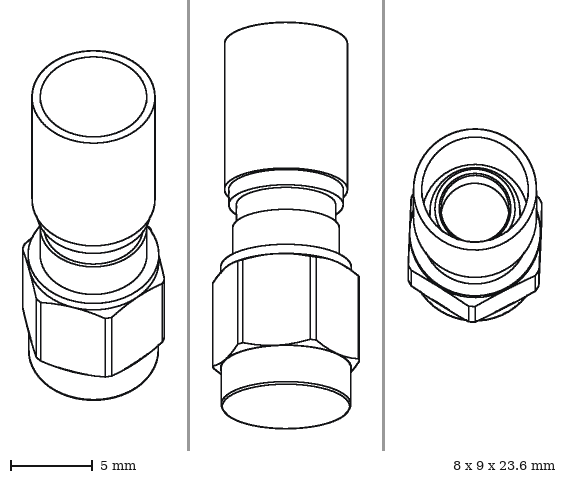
import cadquery as cq

total_height = 23.65
hex_bottom = 2.5
hex_top = 8.5
flange_top = 9.08
collar_top = 11.64
neck_top = 13.15
shoulder_top = 14.15

base_diameter = 7.92
base_chamfer_width = 0.07
base_chamfer_height = 0.15
across_flats = 8.0
across_corners = 9.0
hex_chamfer_height = 0.28

collar_diameter = 6.53
neck_diameter = 6.08
shoulder_diameter = 7.0

sleeve_diameter = 7.52
sleeve_bore = 6.5

ferrule_diameter = 5.5
ferrule_tip_diameter = 4.9
ferrule_height = 2.84
ferrule_taper_height = 1.18
ferrule_mouth_diameter = 4.38
ferrule_bore_diameter = 4.16


def cylinder(diameter, bottom, top):
    """Solid cylinder on the Z axis between two heights."""
    return cq.Workplane("XY", origin=(0, 0, bottom)).circle(diameter / 2).extrude(top - bottom)


def cone(bottom_diameter, top_diameter, bottom, top):
    """Solid truncated cone on the Z axis between two heights."""
    profile = [
        (0, bottom),
        (bottom_diameter / 2, bottom),
        (top_diameter / 2, top),
        (0, top),
    ]
    return cq.Workplane("XZ").polyline(profile).close().revolve(360, (0, 0), (0, 1))


def make_hexagon():
    """Hexagon with two flats facing X, its corners turned round and both ends chamfered."""
    hexagon = (
        cq.Workplane("XY", origin=(0, 0, hex_bottom))
        .polygon(6, across_flats, circumscribed=True)
        .extrude(hex_top - hex_bottom)
    )
    lower_corner = hex_bottom + hex_chamfer_height
    upper_corner = hex_top - hex_chamfer_height
    turned_blank = (
        cone(across_flats, across_corners, hex_bottom, lower_corner)
        .union(cylinder(across_corners, lower_corner, upper_corner))
        .union(cone(across_corners, across_flats, upper_corner, hex_top))
    )
    return hexagon.intersect(turned_blank)


def make_nut():
    """Coupling nut: chamfered round base, hexagon and thin round flange."""
    chamfered_diameter = base_diameter - 2 * base_chamfer_width
    return (
        cone(chamfered_diameter, base_diameter, 0, base_chamfer_height)
        .union(cylinder(base_diameter, base_chamfer_height, hex_bottom))
        .union(make_hexagon())
        .union(cylinder(across_flats, hex_top, flange_top))
    )


def make_body():
    """Collar, narrower neck and the shoulder that carries the sleeve."""
    return (
        cylinder(collar_diameter, flange_top, collar_top)
        .union(cylinder(neck_diameter, collar_top, neck_top))
        .union(cylinder(shoulder_diameter, neck_top, shoulder_top))
    )


def make_sleeve():
    """Thin tube standing on the shoulder and open at the top."""
    bore = cylinder(sleeve_bore, shoulder_top, total_height)
    return cylinder(sleeve_diameter, shoulder_top, total_height).cut(bore)


def make_ferrule():
    """Round ferrule with a tapered tip and a blind bore countersunk at its mouth."""
    ferrule_top = shoulder_top + ferrule_height
    taper_bottom = ferrule_top - ferrule_taper_height
    countersink_depth = (ferrule_mouth_diameter - ferrule_bore_diameter) / 2
    countersink_bottom = ferrule_top - countersink_depth
    outside = cylinder(ferrule_diameter, shoulder_top, taper_bottom).union(
        cone(ferrule_diameter, ferrule_tip_diameter, taper_bottom, ferrule_top)
    )
    bore = cylinder(ferrule_bore_diameter, shoulder_top, countersink_bottom).union(
        cone(ferrule_bore_diameter, ferrule_mouth_diameter, countersink_bottom, ferrule_top)
    )
    return outside.cut(bore)


result = make_nut().union(make_body()).union(make_sleeve()).union(make_ferrule())